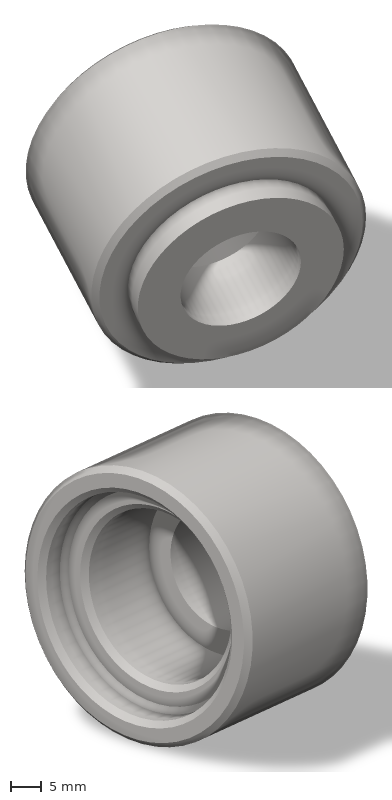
import cadquery as cq

outer_radius = 24.0
body_length = 31.5
total_length = 35.9
spigot_radius = 18.0
chamfer = 1.0

recess_radius = 19.5
recess_depth = 5.5
bore_radius = 15.0
bore_depth = 22.0
through_radius = 10.5


def cylinder(radius, start, end):
    """Solid cylinder along X from start to end."""
    return cq.Workplane("YZ").workplane(offset=start).circle(radius).extrude(end - start)


def entry_cone(radius, start):
    """Cone that narrows from a chamfered rim to the given radius."""
    profile = [
        (start, 0),
        (start, radius + chamfer),
        (start + chamfer, radius),
        (start + chamfer, 0),
    ]
    return cq.Workplane("XY").polyline(profile).close().revolve(360, (0, 0, 0), (1, 0, 0))


body = cylinder(outer_radius, 0, body_length).faces("<X or >X").edges().chamfer(chamfer)
spigot = cylinder(spigot_radius, body_length, total_length)

recess = cylinder(recess_radius, 0, recess_depth).faces(">X").edges().chamfer(chamfer)
recess = recess.union(entry_cone(recess_radius, 0))

bore = cylinder(bore_radius, recess_depth, bore_depth)
bore = bore.union(entry_cone(bore_radius, recess_depth))

through_hole = cylinder(through_radius, 0, total_length)

result = body.union(spigot).cut(recess).cut(bore).cut(through_hole)